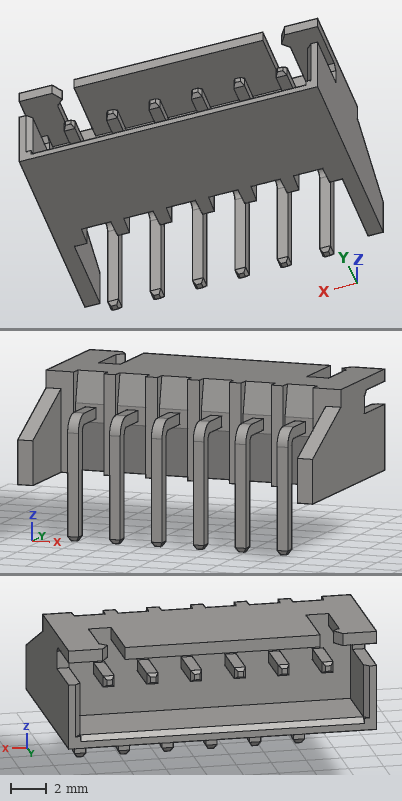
import cadquery as cq
import math


pin_count = 6
pitch = 2.5
pin_x_positions = [(i - (pin_count - 1) / 2) * pitch for i in range(pin_count)]

housing_length = 17.6
housing_height = 5.75
body_depth = 7.0
wing_reach = 4.5
wing_thickness = 0.9
wing_shoulder_drop = 1.0
wing_tip_height = 2.55

cavity_depth = 3.8
roof_thickness = 0.7
floor_thickness = 0.7
end_wall = 0.7
lead_in = 0.3

window_depth = 3.2
window_height = 1.3
window_chamfer = 0.3

slot_outer_offset = 0.61
slot_inner_offset = 0.68
hook_reach = 0.4
hook_tip_depth = 0.6
hook_root_depth = 1.0

notch_width = 1.8
notch_top_depth = 0.65
notch_mid_depth = 0.3
notch_slope_height = 1.8
notch_mid_height = 1.05
notch_bottom_depth = 1.1
notch_side_draft = math.radians(2)

pin_width = 0.64
pin_top_z = housing_height - roof_thickness - window_height
pin_front_y = -9.5
pin_back_y = -1.0
pin_bottom_z = -3.4
bend_inner_radius = 0.36
tip_length = 0.26
tip_inset = 0.16


def yz_prism(points, x_center, width):
    """Extrude a closed (Y, Z) outline along X, centred on x_center."""
    plane = cq.Workplane("YZ", origin=(x_center - width / 2, 0, 0))
    return plane.polyline(points).close().extrude(width)


def block(x_min, x_max, y_min, y_max, z_min, z_max):
    """Box between the given limits."""
    box = cq.Workplane("XY").box(x_max - x_min, y_max - y_min, z_max - z_min, centered=False)
    return box.translate((x_min, y_min, z_min))


def make_shell():
    """Main block with a tapering wing at each end."""
    half_length = housing_length / 2
    shell = block(-half_length, half_length, -body_depth, 0, 0, housing_height)
    wing_tip_y = -body_depth - wing_reach
    wing_outline = [
        (-body_depth, 0),
        (-body_depth, housing_height - wing_shoulder_drop),
        (wing_tip_y, wing_tip_height),
        (wing_tip_y, 0),
    ]
    for side in (-1, 1):
        wing_x = side * (half_length - wing_thickness / 2)
        shell = shell.union(yz_prism(wing_outline, wing_x, wing_thickness))
    return shell


def make_cavity():
    """Mating cavity with a lead-in on its floor and end walls."""
    half_width = housing_length / 2 - end_wall
    ceiling_z = housing_height - roof_thickness
    cavity = block(-half_width, half_width, -cavity_depth, 0, floor_thickness, ceiling_z)
    floor_lead_in = yz_prism(
        [(0, floor_thickness - lead_in), (0, floor_thickness), (-lead_in, floor_thickness)],
        0,
        2 * half_width,
    )
    end_lead_in = (
        cq.Workplane("XY", origin=(0, 0, floor_thickness))
        .polyline([
            (-half_width - lead_in, 0),
            (half_width + lead_in, 0),
            (half_width, -lead_in),
            (-half_width, -lead_in),
        ])
        .close()
        .extrude(ceiling_z - window_height - floor_thickness)
    )
    return cavity.union(floor_lead_in).union(end_lead_in)


def make_window():
    """Opening through both end walls, with its upper inner corner bevelled."""
    top_z = housing_height - roof_thickness
    outline = [
        (0, top_z),
        (-window_depth + window_chamfer, top_z),
        (-window_depth, top_z - window_chamfer),
        (-window_depth, top_z - window_height),
        (0, top_z - window_height),
    ]
    return yz_prism(outline, 0, housing_length)


def make_latch_slot(side):
    """Roof slot above an end pin; its outer edge carries a pointed hook."""
    end_pin_x = side * pin_x_positions[-1]
    outer_x = end_pin_x + side * slot_outer_offset
    inner_x = end_pin_x - side * slot_inner_offset
    return (
        cq.Workplane("XY", origin=(0, 0, housing_height - roof_thickness))
        .polyline([
            (inner_x, 0),
            (outer_x, 0),
            (outer_x - side * hook_reach, -hook_tip_depth),
            (outer_x, -hook_root_depth),
            (outer_x, -cavity_depth),
            (inner_x, -cavity_depth),
        ])
        .close()
        .extrude(roof_thickness)
    )


def make_notch(x_center):
    """Relief notch: slopes out from the top, runs upright past the pin, undercuts below.

    Its side faces close in slightly with depth.
    """
    slope_end_z = housing_height - notch_slope_height
    undercut_z = slope_end_z - notch_mid_height
    outline = [
        (-body_depth, housing_height),
        (-body_depth + notch_top_depth, housing_height),
        (-body_depth + notch_mid_depth, slope_end_z),
        (-body_depth + notch_mid_depth, undercut_z),
        (-body_depth + notch_bottom_depth, 0),
        (-body_depth, 0),
    ]
    profile = yz_prism(outline, x_center, notch_width)
    front_half_width = notch_width / 2
    back_half_width = front_half_width - notch_bottom_depth * math.tan(notch_side_draft)
    drafted_column = (
        cq.Workplane("XY", origin=(x_center, -body_depth, 0))
        .polyline([
            (-front_half_width, 0),
            (front_half_width, 0),
            (back_half_width, notch_bottom_depth),
            (-back_half_width, notch_bottom_depth),
        ])
        .close()
        .extrude(housing_height)
    )
    return profile.intersect(drafted_column)


def make_tip(center, direction):
    """Tapered pin end that starts at center and points along direction."""
    end_width = pin_width - 2 * tip_inset
    plane = cq.Plane(origin=center, xDir=(1, 0, 0), normal=direction)
    return (
        cq.Workplane(plane)
        .rect(pin_width, pin_width)
        .workplane(offset=tip_length)
        .rect(end_width, end_width)
        .loft(ruled=True)
    )


def make_pin(x_center):
    """Square wire bent from the mating direction down into the board leg."""
    half = pin_width / 2
    bend_outer_radius = bend_inner_radius + pin_width
    axis_z = pin_top_z - half
    leg_y = pin_front_y + half
    arm_end_y = pin_back_y - tip_length
    leg_end_z = pin_bottom_z + tip_length
    wire = (
        cq.Workplane("YZ", origin=(x_center - half, 0, 0))
        .moveTo(arm_end_y, pin_top_z)
        .lineTo(pin_front_y + bend_outer_radius, pin_top_z)
        .radiusArc((pin_front_y, pin_top_z - bend_outer_radius), -bend_outer_radius)
        .lineTo(pin_front_y, leg_end_z)
        .lineTo(pin_front_y + pin_width, leg_end_z)
        .lineTo(pin_front_y + pin_width, pin_top_z - bend_outer_radius)
        .radiusArc((pin_front_y + bend_outer_radius, pin_top_z - pin_width), bend_inner_radius)
        .lineTo(arm_end_y, pin_top_z - pin_width)
        .close()
        .extrude(pin_width)
    )
    mating_tip = make_tip((x_center, arm_end_y, axis_z), (0, 1, 0))
    board_tip = make_tip((x_center, leg_y, leg_end_z), (0, 0, -1))
    return wire.union(mating_tip).union(board_tip)


housing = make_shell().cut(make_cavity()).cut(make_window())
for slot_side in (-1, 1):
    housing = housing.cut(make_latch_slot(slot_side))
for pin_x in pin_x_positions:
    housing = housing.cut(make_notch(pin_x))

pins = [make_pin(pin_x) for pin_x in pin_x_positions]
for pin in pins:
    housing = housing.cut(pin)

result = cq.Compound.makeCompound([housing.val(), *[pin.val() for pin in pins]])